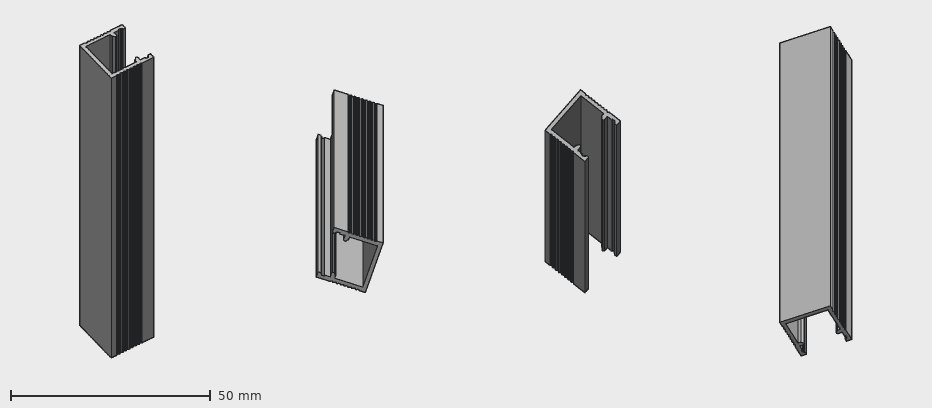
import cadquery as cq

width = 14.0
depth = 13.0
length = 100.0
wall = 1.2
floor_thickness = 1.1

lip_reach = 1.5
lip_height = 0.8
step_height = 0.3
undercut_depth = 0.3
undercut_end = 1.8

shelf_reach = 2.6
shelf_flat = 2.4
barb_reach = 2.0
shelf_top = 3.3
shelf_tip_top = 3.6
shelf_tip_bottom = 3.9
barb_start = 4.3
shelf_bottom = 4.5

groove_count = 8
groove_pitch = 1.0
groove_width = 0.7
groove_floor = 0.3
groove_depth = 0.2
first_groove = 4.0

half_width = width / 2
mouth = depth / 2


def channel():
    """Plain U-shaped channel."""
    block = cq.Workplane("XY").box(width, depth, length)
    cavity = (
        cq.Workplane("XY")
        .box(width - 2 * wall, depth, length)
        .translate((0, floor_thickness, 0))
    )
    return block.cut(cavity)


def wall_prism(points):
    """Full-length prism at the -X wall; points are (inward from outer face, down from mouth)."""
    placed = [(inward - half_width, mouth - down) for inward, down in points]
    return cq.Workplane("XY").workplane(offset=-length / 2).polyline(placed).close().extrude(length)


def lip():
    return wall_prism([(0, 0), (lip_reach, 0), (lip_reach, lip_height), (0, lip_height)])


def undercut():
    undercut_floor = wall - undercut_depth
    undercut_start = lip_height + step_height
    return wall_prism(
        [
            (wall, undercut_start),
            (undercut_floor, undercut_start),
            (undercut_floor, undercut_end),
            (wall, undercut_end),
        ]
    )


def shelf():
    root = wall / 2
    return wall_prism(
        [
            (root, shelf_top),
            (shelf_flat, shelf_top),
            (shelf_reach, shelf_tip_top),
            (shelf_reach, shelf_tip_bottom),
            (barb_reach, barb_start),
            (barb_reach, shelf_bottom),
            (root, shelf_bottom),
        ]
    )


def groove(centre):
    half_opening = groove_width / 2
    half_floor = groove_floor / 2
    return wall_prism(
        [
            (0, centre - half_opening),
            (groove_depth, centre - half_floor),
            (groove_depth, centre + half_floor),
            (0, centre + half_opening),
        ]
    )


added = lip().union(shelf())

removed = undercut()
for i in range(groove_count):
    removed = removed.union(groove(first_groove + i * groove_pitch))

result = (
    channel()
    .union(added)
    .union(added.mirror("YZ"))
    .cut(removed)
    .cut(removed.mirror("YZ"))
)